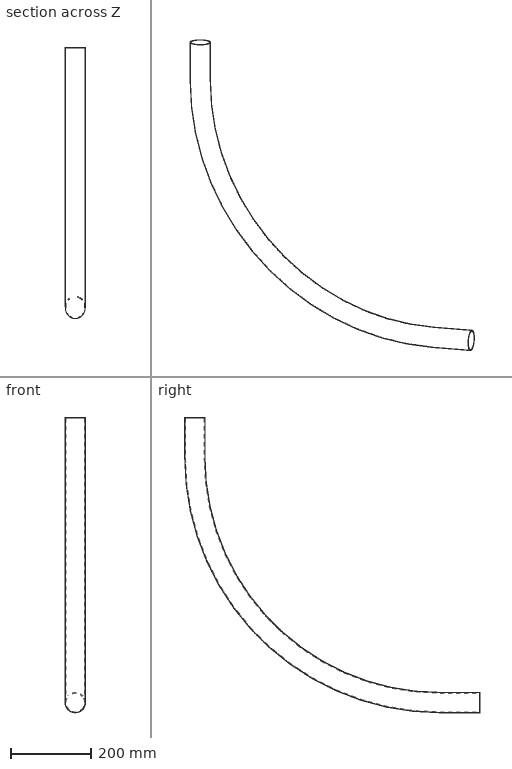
import cadquery as cq

overall_size = 736.5
outer_diameter = 51.0
inner_diameter = 46.5
straight_length = 100.0

outer_radius = outer_diameter / 2
inner_radius = inner_diameter / 2
bend_radius = overall_size - straight_length - outer_radius
upright_y = outer_radius
bottom_z = outer_radius
bend_start_z = bottom_z + bend_radius


def straight_end(plane):
    """Straight tube that starts at the plane's origin and follows its normal."""
    return (
        cq.Workplane(plane)
        .circle(outer_radius)
        .circle(inner_radius)
        .extrude(straight_length)
    )


bend = (
    cq.Workplane("XY", origin=(0, upright_y, bend_start_z))
    .circle(outer_radius)
    .circle(inner_radius)
    .revolve(90, (0, bend_radius, 0), (1, bend_radius, 0))
)

upright_end = straight_end(cq.Plane((0, upright_y, bend_start_z), (1, 0, 0), (0, 0, 1)))
level_end = straight_end(cq.Plane((0, upright_y + bend_radius, bottom_z), (1, 0, 0), (0, 1, 0)))

result = bend.union(upright_end).union(level_end)